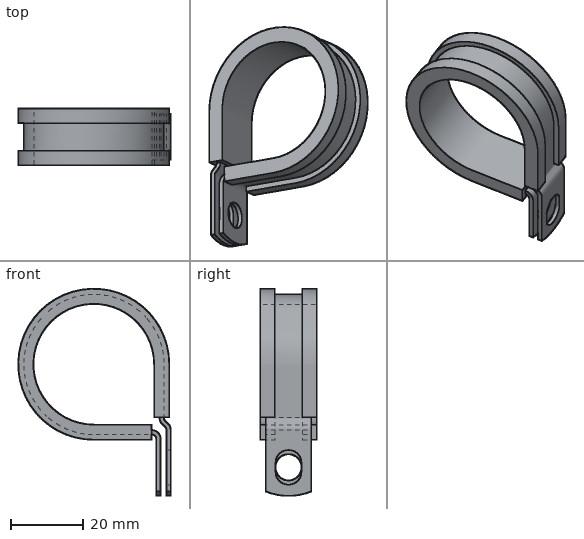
import cadquery as cq
import math

strap_thickness = 1.25
strap_width = 12.7
cushion_layer = 1.5
cushion_width = 15.75
groove_width = 7.6
overall_length = 42.23
overall_height = 57.38

ring_inner_radius = 16.67
strap_inner_radius = ring_inner_radius + cushion_layer
strap_middle_radius = strap_inner_radius + strap_thickness / 2
strap_outer_radius = strap_inner_radius + strap_thickness
ring_outer_radius = strap_outer_radius + cushion_layer

side_arm_length = 14.68
bottom_arm_length = 16.0

tab_bottom = ring_outer_radius - overall_height
outer_tab_x = overall_length - ring_outer_radius - strap_thickness / 2
jog_offset = outer_tab_x - strap_middle_radius
jog_angle = 45
jog_bend_radius = 1.6
jog_lead_in = 0.2
jog_start_depth = side_arm_length + jog_lead_in
corner_bend_radius = 1.9
strap_embed = 2.0
tab_end_rise = 1.27

bolt_hole_diameter = 7.2
bolt_slot_height = 9.6
bolt_hole_height = 7.95


def loop_profile(inner_radius, outer_radius):
    """Three-quarter ring from +X over the top to the bottom, with a straight arm at each end."""
    return (
        cq.Workplane("XZ")
        .moveTo(outer_radius, -side_arm_length)
        .lineTo(outer_radius, 0)
        .threePointArc(three_quarter_middle(outer_radius), (0, -outer_radius))
        .lineTo(bottom_arm_length, -outer_radius)
        .lineTo(bottom_arm_length, -inner_radius)
        .lineTo(0, -inner_radius)
        .threePointArc(three_quarter_middle(inner_radius), (inner_radius, 0))
        .lineTo(inner_radius, -side_arm_length)
        .close()
    )


def three_quarter_middle(radius):
    """Middle point of the three-quarter ring arc."""
    return (-radius * math.sqrt(0.5), radius * math.sqrt(0.5))


def make_cushion():
    cushion = loop_profile(ring_inner_radius, ring_outer_radius).extrude(cushion_width / 2, both=True)
    groove = loop_profile(strap_outer_radius, ring_outer_radius).extrude(groove_width / 2, both=True)
    return cushion.cut(groove)


def sweep_strap(path, start, direction):
    """Carry the strap cross-section along a centreline that leaves the (x, z) start in the given direction."""
    section_plane = cq.Plane((start[0], 0, start[1]), xDir=(0, 1, 0), normal=direction)
    return cq.Workplane(section_plane).rect(strap_width, strap_thickness).sweep(path)


def make_outer_tab():
    """Strap leaving the side arm, jogging outward and running straight down."""
    angle = math.radians(jog_angle)
    bend_shift = jog_bend_radius * (1 - math.cos(angle))
    bend_drop = jog_bend_radius * math.sin(angle)
    slope_shift = jog_offset - 2 * bend_shift
    slope_drop = slope_shift / math.tan(angle)
    start = (strap_middle_radius, strap_embed - side_arm_length)
    slope_start = (strap_middle_radius + bend_shift, -jog_start_depth - bend_drop)
    slope_end = (slope_start[0] + slope_shift, slope_start[1] - slope_drop)
    path = (
        cq.Workplane("XZ")
        .moveTo(*start)
        .lineTo(strap_middle_radius, -jog_start_depth)
        .tangentArcPoint(slope_start, relative=False)
        .lineTo(*slope_end)
        .tangentArcPoint((outer_tab_x, slope_end[1] - bend_drop), relative=False)
        .lineTo(outer_tab_x, tab_bottom)
    )
    return sweep_strap(path, start, (0, 0, -1))


def make_inner_tab():
    """Strap leaving the bottom arm and turning straight down."""
    start = (bottom_arm_length - strap_embed, -strap_middle_radius)
    inner_tab_x = bottom_arm_length + corner_bend_radius
    path = (
        cq.Workplane("XZ")
        .moveTo(*start)
        .lineTo(bottom_arm_length, -strap_middle_radius)
        .tangentArcPoint((inner_tab_x, -strap_middle_radius - corner_bend_radius), relative=False)
        .lineTo(inner_tab_x, tab_bottom)
    )
    return sweep_strap(path, start, (1, 0, 0))


def tab_outline():
    """Prism along X that trims the tab ends to an arc."""
    half_width = strap_width / 2
    edge_height = tab_bottom + tab_end_rise
    return (
        cq.Workplane("YZ")
        .moveTo(-half_width, 0)
        .lineTo(-half_width, edge_height)
        .threePointArc((0, tab_bottom), (half_width, edge_height))
        .lineTo(half_width, 0)
        .close()
        .extrude(overall_length)
    )


def round_hole():
    """Cylinder along X that drills the inner tab."""
    return (
        cq.Workplane("YZ")
        .center(0, tab_bottom + bolt_hole_height)
        .circle(bolt_hole_diameter / 2)
        .extrude(overall_length)
    )


def upright_slot():
    """Upright slot cutter along X for the outer tab, centred on the bolt hole."""
    return (
        cq.Workplane("YZ")
        .center(0, tab_bottom + bolt_hole_height)
        .slot2D(bolt_slot_height, bolt_hole_diameter, angle=90)
        .extrude(overall_length)
    )


inner_tab = make_inner_tab().cut(round_hole())
outer_tab = make_outer_tab().cut(upright_slot())
tabs = inner_tab.union(outer_tab).intersect(tab_outline())
result = make_cushion().union(tabs)